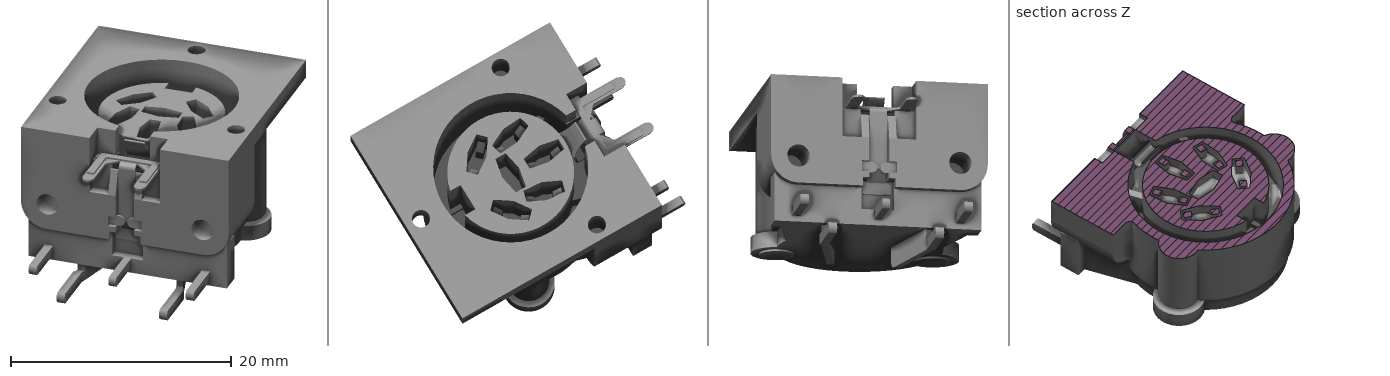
import cadquery as cq
import math


width = 19.96
back_y = 10.97
front_y = -10.02
plate_thickness = 1.8
block_back_y = -3.0
block_bottom_z = -10.03
block_corner_radius = 2.5
block_blend_radius = 0.46

barrel_radius = 8.05
barrel_bottom_z = -12.03
barrel_edge_radius = 0.5
base_radius = 7.6
base_bottom_z = -13.5
base_flat_x = 7.25
base_flat_front_y = -2.37
foot_half_width = 9.55
foot_back_y = -7.24
foot_front_y = -9.25
foot_top_z = -9.0
flare_x = 8.64

column_x = 7.2
column_y = 2.37
column_radius = 1.9
column_flange_radius = 2.37
stake_radius = 1.6
stake_bottom_z = -13.67

screw_radius = 0.82
top_screw_y = 9.44
side_screw_x = 8.58
side_screw_y = -4.01
front_screw_radius = 1.03
front_screw_x = 7.46
front_screw_z = -7.5
screw_depth = 4.0

socket_radius = 7.03
core_radius = 5.75
core_top_z = -1.7
socket_floor_z = -8.0
key_half_width = 1.32
key_front_y = 4.5
key_seat_radius = 0.87
key_seat_depth = 0.5
stake_recess = 0.2
rib_width = 0.66
rib_top_z = -6.0
rib_angle = 15
rib_x = 4.0
rib_y = -5.15
rib_length = 2.4

pin_circle_radius = 3.5
PIN_SLOT_ANGLES = [(30, 45), (150, -45), (210, -15), (270, 0), (330, 15)]
slot_length = 3.64
slot_end_width = 1.06
slot_mid_width = 1.76
slot_bottom_z = -6.0
contact_width = 0.7
contact_foot = 0.8
contact_top_z = -3.2
contact_offset = 1.25
contact_drop = 0.7

recess_half_width = 3.4
recess_back_y = -7.85
ledge_z = -2.66
ledge_back_y = -9.12
recess_bottom_z = -5.5
passage_half_width = 1.68
lower_passage_half_width = 1.6
ramp_top_y = -9.3
ramp_top_z = -3.2

sheet = 0.2
bar_half_width = 3.22
bar_back_y = -8.23
bar_front_y = -8.84
leg_inner_x = 1.93
leg_outer_x = 3.03
leg_tip_y = -13.48
leg_taper = 0.55
leg_tip_half_width = 0.42
leg_tip_crown = 0.25
bead_inner_x = 2.2
bead_outer_x = 2.87
bead_front_y = -12.22
bead_height = 0.17
gusset_inner_x = 0.8
gusset_front_y = -9.8
strip_half_width = 0.78
strip_front_y = -9.48
strip_bottom_z = -8.2
strip_bend_radius = 0.4
tongue_half_width = 1.32
lip_half_width = 0.97
lip_knee_y = -6.85
lip_knee_z = -1.75
lip_tip_y = -7.33
lip_tip_z = -1.1
spring_back_y = -7.55
spring_shoulder_z = -3.5
spring_bend = 0.3
spring_bottom_z = -5.8
spring_contact_y = -5.95
spring_contact_z = -3.2

channel_half_width = 0.9
clinch_half_width = 1.6
clinch_top_z = -7.67
clinch_bottom_z = -8.68
clinch_gap = 0.13
tail_pocket_half_width = 1.5
tail_pocket_top_z = -9.23
tail_pocket_back_y = -8.5
tail_half_width = 1.32
tail_top_z = -9.4
tail_bottom_z = -10.5
tail_corner = 0.3

pin_height = 0.93
upper_pin_top_z = -12.03
outer_pin_x = 7.55
outer_pin_width = 0.78
outer_pin_tip_y = -13.71
centre_pin_width = 0.7
centre_pin_tip_y = -13.46
pin_tip_crown = 0.2

blade_thickness = 0.66
blade_bottom_z = -15.49
blade_back_x = 2.95
blade_back_y = -1.63
blade_front_y = -9.2
blade_notch_y = -8.5
blade_corner_radius = 0.6
lower_pin_x = 4.93
lower_pin_top_z = -14.5
lower_pin_tip_y = -13.53

SIDES = (-1, 1)
OVERLAP = 0.3


def box(x0, x1, y0, y1, z0, z1):
    """Axis-aligned box between two corners."""
    return cq.Workplane("XY").box(x1 - x0, y1 - y0, z1 - z0, centered=False).translate((x0, y0, z0))


def centred_box(half_width, y0, y1, z0, z1):
    """Box symmetric about the YZ plane."""
    return box(-half_width, half_width, y0, y1, z0, z1)


def cylinder(x, y, radius, z0, z1):
    """Vertical cylinder."""
    return cq.Workplane("XY", origin=(x, y, z0)).circle(radius).extrude(z1 - z0)


def plan_prism(points, z0, z1):
    """Vertical prism on an XY outline."""
    return cq.Workplane("XY", origin=(0, 0, z0)).polyline(points).close().extrude(z1 - z0)


def side_prism(points, half_width):
    """Prism on a YZ outline, symmetric about the YZ plane."""
    return cq.Workplane("YZ").polyline(points).close().extrude(half_width, both=True)


def make_block_blend():
    """Concave blend between the back of the block and the barrel."""
    edge_y = block_back_y + block_blend_radius
    centre_x = math.sqrt((barrel_radius + block_blend_radius) ** 2 - edge_y**2)
    filler = centred_box(centre_x, block_back_y, edge_y, block_bottom_z, -plate_thickness)
    for side in SIDES:
        x = side * centre_x
        filler = filler.cut(cylinder(x, edge_y, block_blend_radius, block_bottom_z, -plate_thickness))
    return filler


def make_housing():
    """Plate, front block, barrel, base, columns and foot as solid stock."""
    half = width / 2
    plate = centred_box(half, front_y, back_y, -plate_thickness, 0)
    block = centred_box(half, front_y, block_back_y, block_bottom_z, 0)
    block = block.edges("|Y and <Z").fillet(block_corner_radius)
    barrel = cylinder(0, 0, barrel_radius, barrel_bottom_z, 0)
    barrel = barrel.faces("<Z").edges().fillet(barrel_edge_radius)
    barrel = barrel.union(make_block_blend())
    base = cylinder(0, 0, base_radius, base_bottom_z, block_bottom_z)
    skirt = plan_prism(
        [
            (-base_flat_x, 0),
            (-base_flat_x, base_flat_front_y),
            (-flare_x, foot_back_y),
            (flare_x, foot_back_y),
            (base_flat_x, base_flat_front_y),
            (base_flat_x, 0),
        ],
        base_bottom_z,
        block_bottom_z,
    )
    foot = centred_box(foot_half_width, foot_front_y, foot_back_y, base_bottom_z, foot_top_z)
    housing = plate.union(block).union(barrel).union(base).union(skirt).union(foot)
    for side in SIDES:
        x = side * column_x
        column = cylinder(x, column_y, column_radius, barrel_bottom_z, -plate_thickness)
        housing = housing.union(column.faces("<Z").edges().fillet(barrel_edge_radius))
        housing = housing.union(cylinder(x, column_y, column_flange_radius, base_bottom_z, barrel_bottom_z))
        housing = housing.union(cylinder(x, column_y, stake_radius, stake_bottom_z, base_bottom_z))
    return housing


def cut_screw_holes(housing):
    """One through hole in the plate, two blind holes from above, two from the front."""
    housing = housing.cut(cylinder(0, top_screw_y, screw_radius, -plate_thickness, 0))
    for side in SIDES:
        housing = housing.cut(cylinder(side * side_screw_x, side_screw_y, screw_radius, -screw_depth, 0))
        front_hole = (
            cq.Workplane("XZ", origin=(side * front_screw_x, front_y, front_screw_z))
            .circle(front_screw_radius)
            .extrude(-screw_depth)
        )
        housing = housing.cut(front_hole)
    return housing


def make_core():
    """Central core with the polarising keyway."""
    core = cylinder(0, 0, core_radius, socket_floor_z, core_top_z)
    return core.cut(centred_box(key_half_width, key_front_y, core_radius, socket_floor_z, core_top_z))


def cut_socket(housing):
    """Annular socket around the core, with the details on its floor."""
    housing = housing.cut(cylinder(0, 0, socket_radius, socket_floor_z, 0))
    stake_top_z = socket_floor_z - stake_recess
    socket = cylinder(0, 0, socket_radius, stake_top_z, 0)
    for side in SIDES:
        stake = cylinder(side * column_x, column_y, stake_radius, stake_top_z, socket_floor_z)
        housing = housing.cut(stake.intersect(socket))
    seat_centre_y = socket_radius - key_seat_radius
    seat_z = socket_floor_z - key_seat_depth
    housing = housing.cut(cylinder(0, seat_centre_y, key_seat_radius, seat_z, socket_floor_z))
    housing = housing.cut(centred_box(key_seat_radius, key_front_y, seat_centre_y, seat_z, socket_floor_z))
    for side in SIDES:
        rib = (
            cq.Workplane("XY")
            .box(rib_width, rib_length, rib_top_z - socket_floor_z)
            .rotate((0, 0, 0), (0, 0, 1), side * rib_angle)
            .translate((side * rib_x, rib_y, (rib_top_z + socket_floor_z) / 2))
        )
        housing = housing.union(rib.intersect(socket))
    return housing.union(make_core())


def place(shape, x, y, angle):
    """Turn a shape about the vertical and move it to its pin position."""
    return shape.rotate((0, 0, 0), (0, 0, 1), angle).translate((x, y, 0))


def make_slot():
    """Elongated hexagonal pin slot, long side along Y."""
    end_y = slot_length / 2
    end_x = slot_end_width / 2
    mid_x = slot_mid_width / 2
    outline = [(-end_x, -end_y), (end_x, -end_y), (mid_x, 0), (end_x, end_y), (-end_x, end_y), (-mid_x, 0)]
    return plan_prism(outline, slot_bottom_z, core_top_z)


def make_contact_pair():
    """Two facing contact leaves with sloped tips, standing on the slot bottom."""
    pair = cq.Workplane("XY")
    inner_y = contact_offset - contact_foot / 2
    outer_y = contact_offset + contact_foot / 2
    root_z = slot_bottom_z - OVERLAP
    for side in SIDES:
        outline = [
            (side * inner_y, root_z),
            (side * outer_y, root_z),
            (side * outer_y, contact_top_z),
            (side * inner_y, contact_top_z - contact_drop),
        ]
        pair = pair.union(side_prism(outline, contact_width / 2))
    return pair


def add_pin_slots(housing):
    """Five contact slots on the pin circle and one empty slot on the axis."""
    housing = housing.cut(place(make_slot(), 0, 0, 90))
    for pin_angle, slot_angle in PIN_SLOT_ANGLES:
        x = pin_circle_radius * math.cos(math.radians(pin_angle))
        y = pin_circle_radius * math.sin(math.radians(pin_angle))
        housing = housing.cut(place(make_slot(), x, y, slot_angle))
        housing = housing.union(place(make_contact_pair(), x, y, slot_angle))
    return housing


def make_ramp():
    """Sloped web that closes the lower front of the spring passage."""
    outline = [
        (front_y, recess_bottom_z),
        (ramp_top_y, ramp_top_z),
        (ledge_back_y, ramp_top_z),
        (ledge_back_y, recess_bottom_z),
    ]
    return side_prism(outline, lower_passage_half_width)


def cut_front_recess(housing):
    """Stepped recess, spring passage, strip channel and tail pocket in the front."""
    housing = housing.cut(centred_box(recess_half_width, front_y, recess_back_y, ledge_z, 0))
    lower_recess = centred_box(recess_half_width, front_y, ledge_back_y, recess_bottom_z, ledge_z)
    housing = housing.cut(lower_recess.cut(make_ramp()))
    housing = housing.cut(centred_box(passage_half_width, recess_back_y, -core_radius, ledge_z, 0))
    passage = side_prism(
        [
            (-core_radius, ledge_z),
            (-core_radius, socket_floor_z),
            (recess_back_y, socket_floor_z),
            (ledge_back_y, recess_bottom_z),
            (ledge_back_y, ledge_z),
        ],
        lower_passage_half_width,
    )
    housing = housing.cut(passage.cut(cylinder(0, 0, core_radius, socket_floor_z, core_top_z)))
    channel_back_y = strip_front_y + sheet
    housing = housing.cut(
        centred_box(channel_half_width, front_y, channel_back_y, tail_pocket_top_z, ramp_top_z)
    )
    housing = housing.cut(
        centred_box(clinch_half_width, front_y, strip_front_y, clinch_bottom_z, clinch_top_z)
    )
    housing = housing.cut(
        centred_box(channel_half_width, front_y, tail_pocket_back_y, tail_pocket_top_z, strip_bottom_z)
    )
    return housing.cut(
        centred_box(tail_pocket_half_width, front_y, tail_pocket_back_y, upper_pin_top_z, tail_pocket_top_z)
    )


def make_contact_plate():
    """Flat fork of the ground contact: cross bar, two legs, gussets and stiffening bead."""
    top_z = ledge_z + sheet
    bead_top_z = top_z + bead_height
    plate = centred_box(bar_half_width, bar_front_y, bar_back_y, ledge_z, top_z)
    plate = plate.union(centred_box(bead_outer_x, bar_front_y, bar_back_y, top_z, bead_top_z))
    leg_mid_x = (leg_inner_x + leg_outer_x) / 2
    for side in SIDES:
        leg = (
            cq.Workplane("XY", origin=(0, 0, ledge_z))
            .moveTo(side * leg_inner_x, bar_front_y)
            .lineTo(side * leg_inner_x, leg_tip_y + leg_taper)
            .lineTo(side * (leg_mid_x - leg_tip_half_width), leg_tip_y + leg_tip_crown)
            .threePointArc(
                (side * leg_mid_x, leg_tip_y),
                (side * (leg_mid_x + leg_tip_half_width), leg_tip_y + leg_tip_crown),
            )
            .lineTo(side * leg_outer_x, leg_tip_y + leg_taper)
            .lineTo(side * leg_outer_x, bar_front_y)
            .close()
            .extrude(sheet)
        )
        bead_x = sorted((side * bead_inner_x, side * bead_outer_x))
        bead = box(*bead_x, bead_front_y, bar_front_y, top_z, bead_top_z)
        gusset = plan_prism(
            [
                (side * leg_inner_x, bar_front_y),
                (side * leg_inner_x, gusset_front_y),
                (side * gusset_inner_x, bar_front_y),
            ],
            ledge_z,
            top_z,
        )
        plate = plate.union(leg).union(bead).union(gusset)
    return plate


def make_spring_tongue():
    """Bent spring reaching from the cross bar into the socket, with a flared lip."""
    path = [
        (bar_back_y - OVERLAP, ledge_z + sheet / 2),
        (bar_back_y, ledge_z + sheet / 2),
        (spring_back_y, spring_shoulder_z),
        (spring_back_y + spring_bend, spring_bottom_z + spring_bend),
        ((spring_back_y + spring_contact_y) / 2, spring_bottom_z),
        (spring_contact_y - spring_bend, spring_bottom_z + spring_bend),
        (spring_contact_y, spring_contact_z),
    ]
    lip_path = [path[-1], (lip_knee_y, lip_knee_z), (lip_tip_y, lip_tip_z)]
    tongue = cq.Workplane("YZ").polyline(path).offset2D(sheet / 2).extrude(tongue_half_width, both=True)
    lip = cq.Workplane("YZ").polyline(lip_path).offset2D(sheet / 2).extrude(tongue_half_width, both=True)
    taper = plan_prism(
        [
            (-tongue_half_width, -core_radius),
            (-lip_half_width, lip_knee_y),
            (-lip_half_width, lip_tip_y - sheet),
            (lip_half_width, lip_tip_y - sheet),
            (lip_half_width, lip_knee_y),
            (tongue_half_width, -core_radius),
        ],
        socket_floor_z,
        0,
    )
    return tongue.union(lip.intersect(taper))


def make_strip():
    """Vertical strip, its two clinch tabs and the chamfered tail."""
    strip_back_y = strip_front_y + sheet
    strip_mid_y = strip_front_y + sheet / 2
    plate_mid_z = ledge_z + sheet / 2
    strip_path = (
        cq.Workplane("YZ")
        .moveTo(bar_front_y, plate_mid_z)
        .lineTo(strip_mid_y + strip_bend_radius, plate_mid_z)
        .tangentArcPoint((strip_mid_y, plate_mid_z - strip_bend_radius), relative=False)
        .lineTo(strip_mid_y, strip_bottom_z)
    )
    strip = strip_path.offset2D(sheet / 2).extrude(strip_half_width, both=True)
    bend = side_prism(
        [
            (strip_front_y, strip_bottom_z),
            (strip_back_y, strip_bottom_z),
            (tail_pocket_back_y, tail_top_z),
            (tail_pocket_back_y - sheet, tail_top_z),
        ],
        strip_half_width,
    )
    tail = centred_box(
        tail_half_width, tail_pocket_back_y - sheet, tail_pocket_back_y, tail_bottom_z, tail_top_z
    )
    tail = tail.edges("|Y and >Z").chamfer(tail_corner)
    contact = strip.union(bend).union(tail)
    tab_radius = (clinch_top_z - clinch_bottom_z) / 2
    tab_mid_z = (clinch_top_z + clinch_bottom_z) / 2
    for side in SIDES:
        tab_x = side * (clinch_gap + tab_radius)
        flank_x = sorted((tab_x, side * clinch_half_width))
        tab = (
            cq.Workplane("XZ", origin=(tab_x, strip_front_y, tab_mid_z)).circle(tab_radius).extrude(sheet)
        )
        tab = tab.union(
            box(*flank_x, strip_front_y - sheet, strip_front_y, clinch_bottom_z, clinch_top_z)
        )
        contact = contact.union(tab)
    return contact


def make_pin(x, pin_width, start_y, tip_y, top_z, bottom_z):
    """Rectangular solder pin along -Y with a crowned tip."""
    shoulder_y = tip_y + pin_tip_crown
    profile = (
        cq.Workplane("YZ", origin=(x, 0, 0))
        .moveTo(start_y, top_z)
        .lineTo(shoulder_y, top_z)
        .threePointArc((tip_y, (top_z + bottom_z) / 2), (shoulder_y, bottom_z))
        .lineTo(start_y, bottom_z)
        .close()
    )
    return profile.extrude(pin_width / 2, both=True)


def make_blade(side):
    """Slanted contact blade below the base, ending in a low solder pin."""
    half = blade_thickness / 2
    outline = [
        (side * (blade_back_x - half), blade_back_y),
        (side * (blade_back_x + half), blade_back_y),
        (side * (lower_pin_x + half), blade_front_y),
        (side * (lower_pin_x - half), blade_front_y),
    ]
    top_z = base_bottom_z + OVERLAP
    blade = plan_prism(outline, blade_bottom_z, top_z)
    blade = blade.faces(">Y").edges("<Z").fillet(blade_corner_radius)
    notch_half_width = lower_pin_x + blade_thickness
    blade = blade.cut(
        centred_box(notch_half_width, blade_front_y, blade_notch_y, lower_pin_top_z, top_z)
    )
    pin = make_pin(
        side * lower_pin_x,
        outer_pin_width,
        blade_front_y + OVERLAP,
        lower_pin_tip_y,
        lower_pin_top_z,
        blade_bottom_z,
    )
    return blade.union(pin)


def add_pins(housing):
    """Three pins from the foot and two blades from the base."""
    bottom_z = upper_pin_top_z - pin_height
    root_y = foot_front_y + OVERLAP
    centre_pin = make_pin(
        0, centre_pin_width, tail_pocket_back_y, centre_pin_tip_y, upper_pin_top_z, bottom_z
    )
    housing = housing.union(centre_pin)
    for side in SIDES:
        outer_pin = make_pin(
            side * outer_pin_x, outer_pin_width, root_y, outer_pin_tip_y, upper_pin_top_z, bottom_z
        )
        housing = housing.union(outer_pin).union(make_blade(side))
    return housing


body = cut_screw_holes(make_housing())
body = cut_socket(body)
body = add_pin_slots(body)
body = cut_front_recess(body)
body = add_pins(body)
result = body.union(make_contact_plate()).union(make_spring_tongue()).union(make_strip())